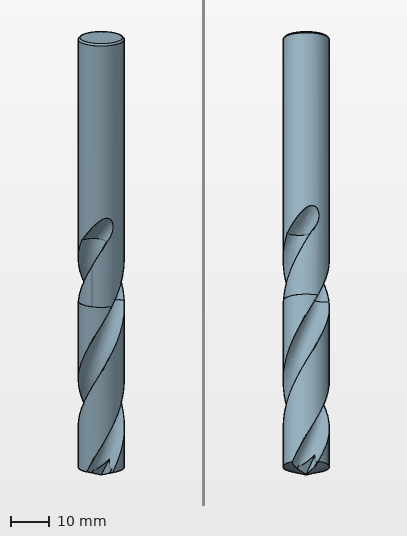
import cadquery as cq
import math


diameter = 12.0
total_length = 118.0
cutting_length = 47.0
flute_length = 71.0
point_angle = 140.0
shank_chamfer = 0.5

flute_count = 2
helix_angle = 30.0
helix_end = 64.2
core_radius = 1.8
flute_radius = 3.4

runout_sideways = 5.6
runout_overshoot = 1.2

gash_root = cq.Vector(0.15, -0.25, 0.2)
gash_peak = cq.Vector(2.8, -1.0, 5.0)
gash_lip = cq.Vector(3.7, -2.1, 2.4)
gash_heel = cq.Vector(-0.1, -2.3, 2.7)
gash_lip_width = 2.6
gash_heel_width = 3.0
gash_lead_in = 3.0
gash_overrun = 0.3

radius = diameter / 2
point_height = radius / math.tan(math.radians(point_angle / 2))
flute_offset = core_radius + flute_radius
helix_lead = math.pi * diameter / math.tan(math.radians(helix_angle))
flute_start = -1.0


def flute_copies(cutter):
    """Copies of a cutter, one per flute, spaced evenly about the drill axis."""
    step = 360 / flute_count
    return [cutter.rotate((0, 0, 0), (0, 0, 1), step * i) for i in range(flute_count)]


def helical_groove():
    """Right-hand twisted groove that faces -Y at its upper end."""
    height = helix_end - flute_start
    twist = 360 * height / helix_lead
    return (
        cq.Workplane("XY")
        .moveTo(0, -flute_offset)
        .circle(flute_radius)
        .twistExtrude(height, twist)
        .rotate((0, 0, 0), (0, 0, 1), -twist)
        .translate((0, 0, flute_start))
    )


def flute_runout():
    """Slanted cylinder that just leaves the drill surface at the flute length."""
    rise = flute_length - helix_end
    clear_distance = radius + flute_radius
    outward = math.sqrt(clear_distance**2 - runout_sideways**2) - flute_offset
    direction = cq.Vector(runout_sideways, -outward, rise) * runout_overshoot
    section = cq.Workplane("XY", origin=(0, -flute_offset, helix_end)).circle(flute_radius)
    return cq.Workplane(cq.Solid.extrudeLinear(section.wires().val(), [], direction))


def point_gash():
    """V notch whose bottom edge climbs from beside the point into the flute."""
    climb = gash_peak - gash_root
    direction = climb.normalized()

    def across(face_point):
        """Unit vector from the notch bottom toward a face point, square to the climb."""
        reach = face_point - gash_root
        return (reach - direction * reach.dot(direction)).normalized()

    start = gash_root - direction * gash_lead_in
    lip_side = across(gash_lip) * gash_lip_width
    heel_side = across(gash_heel) * gash_heel_width
    corners = [start, start + lip_side, start + lip_side + heel_side, start + heel_side]
    section = cq.Wire.makePolygon(corners, close=True)
    length = gash_lead_in + climb.Length + gash_overrun
    return cq.Workplane(cq.Solid.extrudeLinear(section, [], direction * length))


def cutting_blank():
    """Cylinder with a conical point at the origin."""
    profile = [(0, 0), (-radius, point_height), (-radius, cutting_length), (0, cutting_length)]
    return cq.Workplane("XZ").polyline(profile).close().revolve(360, (0, 0), (0, 1))


def shank_blank():
    """Cylinder with a chamfered top edge."""
    profile = [
        (0, cutting_length),
        (-radius, cutting_length),
        (-radius, total_length - shank_chamfer),
        (-(radius - shank_chamfer), total_length),
        (0, total_length),
    ]
    return cq.Workplane("YZ").polyline(profile).close().revolve(360, (0, 0), (0, 1))


def make_cutting_section(grooves):
    """Fluted lower body with the gashed point."""
    body = cutting_blank()
    for cutter in grooves + flute_copies(point_gash()):
        body = body.cut(cutter)
    return body


def make_shank_section(grooves):
    """Plain upper body into which the flutes run out."""
    body = shank_blank()
    for cutter in grooves + flute_copies(flute_runout()):
        body = body.cut(cutter)
    return body


flute_grooves = flute_copies(helical_groove())
cutting_section = make_cutting_section(flute_grooves)
shank_section = make_shank_section(flute_grooves)

result = cq.Compound.makeCompound([*cutting_section.vals(), *shank_section.vals()])